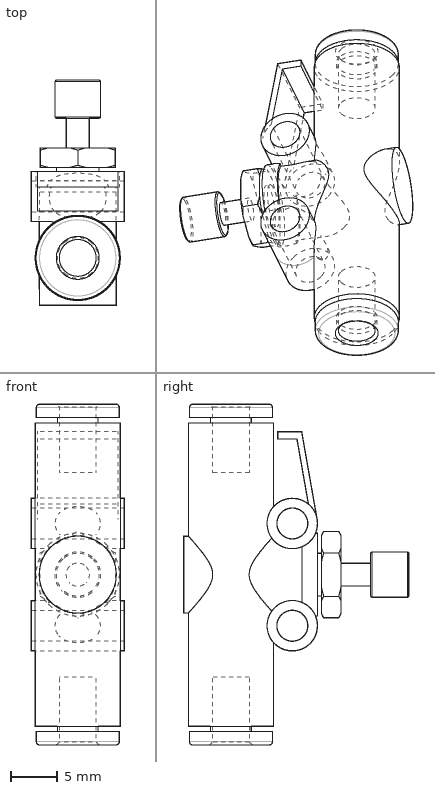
import cadquery as cq
import math

total_length = 37.0
body_radius = 4.62
body_length = 32.93
collar_radius = 4.5
collar_thickness = 1.48
collar_rounding = 0.37
neck_radius = 2.22
bore_radius = 2.0
bore_depth = 7.4
bore_chamfer = 0.35

boss_radius = 4.18
boss_front_y = -5.15
boss_back_y = 7.7
flange_radius = 4.5
flange_back_y = 9.4
stem_collar_radius = 2.33
nut_front_y = 9.8
nut_thickness = 2.15
nut_across_flats = 8.15
nut_chamfer_radius = 4.25
nut_chamfer_angle = 30.0
shaft_radius = 1.25
knob_front_y = 15.15
knob_length = 4.18
knob_radius = 2.48
knob_chamfer = 0.15

sleeve_length = 10.1
sleeve_radius = 2.75
sleeve_bore_radius = 1.65
sleeve_y = flange_back_y - sleeve_radius
sleeve_spacing = 11.1

plate_width = 8.77
plate_thickness = 0.65
plate_tilt = 10.0
plate_top_z = 15.5
lip_thickness = 0.8
lip_front_y = 5.07


def cylinder_y(radius, start_y, end_y):
    """Cylinder on the Y axis between two Y positions."""
    plane = cq.Plane(origin=(0, start_y, 0), xDir=(1, 0, 0), normal=(0, 1, 0))
    return cq.Workplane(plane).circle(radius).extrude(end_y - start_y)


def cylinder_x(radius, y, z):
    """Cylinder along X, centred on the part's YZ plane."""
    return cq.Workplane("YZ").center(y, z).circle(radius).extrude(sleeve_length / 2, both=True)


def make_tube():
    half_length = total_length / 2
    tube = cq.Workplane("XY").circle(body_radius).extrude(body_length / 2, both=True)
    tube = tube.union(cq.Workplane("XY").circle(neck_radius).extrude(half_length, both=True))
    top_collar = (
        cq.Workplane("XY", origin=(0, 0, half_length - collar_thickness))
        .circle(collar_radius)
        .extrude(collar_thickness)
        .faces(">Z")
        .edges()
        .fillet(collar_rounding)
    )
    return tube.union(top_collar).union(top_collar.mirror("XY"))


def make_bore():
    """Blind tube socket at the top end, with a chamfered mouth."""
    half_length = total_length / 2
    floor_z = half_length - bore_depth
    return (
        cq.Workplane("XZ")
        .moveTo(0, floor_z)
        .lineTo(bore_radius, floor_z)
        .lineTo(bore_radius, half_length - bore_chamfer)
        .lineTo(bore_radius + bore_chamfer, half_length)
        .lineTo(0, half_length)
        .close()
        .revolve(360, (0, 0, 0), (0, 1, 0))
    )


def make_nut():
    """Hexagon with corners on +Z and -Z, its corners turned down on both faces."""
    corner_radius = nut_across_flats / math.sqrt(3)
    back_y = nut_front_y + nut_thickness
    chamfer_height = (corner_radius - nut_chamfer_radius) * math.tan(math.radians(nut_chamfer_angle))
    hexagon = (
        cq.Workplane("XZ", origin=(0, back_y, 0))
        .transformed(rotate=(0, 0, 90))
        .polygon(6, 2 * corner_radius)
        .extrude(nut_thickness)
    )
    turned_blank = (
        cq.Workplane("XY")
        .moveTo(0, nut_front_y)
        .lineTo(nut_chamfer_radius, nut_front_y)
        .lineTo(corner_radius, nut_front_y + chamfer_height)
        .lineTo(corner_radius, back_y - chamfer_height)
        .lineTo(nut_chamfer_radius, back_y)
        .lineTo(0, back_y)
        .close()
        .revolve(360, (0, 0, 0), (0, 1, 0))
    )
    return hexagon.intersect(turned_blank)


def make_stem():
    knob_back_y = knob_front_y + knob_length
    knob = cylinder_y(knob_radius, knob_front_y, knob_back_y).edges().chamfer(knob_chamfer)
    boss = cylinder_y(boss_radius, boss_front_y, boss_back_y)
    flange = cylinder_y(flange_radius, boss_back_y, flange_back_y)
    stem_collar = cylinder_y(stem_collar_radius, flange_back_y, nut_front_y)
    shaft = cylinder_y(shaft_radius, nut_front_y, knob_front_y)
    return boss.union(flange).union(stem_collar).union(make_nut()).union(shaft).union(knob)


def make_plate(sleeve_z):
    """Tilted plate whose back face is tangent to the sleeve, with a lip bent forward at the top."""
    tilt = math.radians(plate_tilt)
    tangent_y = sleeve_y + sleeve_radius * math.cos(tilt)
    tangent_z = sleeve_z + sleeve_radius * math.sin(tilt)
    inner_y = tangent_y - plate_thickness * math.cos(tilt)
    inner_z = tangent_z - plate_thickness * math.sin(tilt)
    lip_bottom_z = plate_top_z - lip_thickness
    back_corner_y = tangent_y - (plate_top_z - tangent_z) * math.tan(tilt)
    inner_corner_y = inner_y - (lip_bottom_z - inner_z) * math.tan(tilt)
    return (
        cq.Workplane("YZ")
        .moveTo(tangent_y, tangent_z)
        .lineTo(back_corner_y, plate_top_z)
        .lineTo(lip_front_y, plate_top_z)
        .lineTo(lip_front_y, lip_bottom_z)
        .lineTo(inner_corner_y, lip_bottom_z)
        .lineTo(inner_y, inner_z)
        .close()
        .extrude(plate_width / 2, both=True)
    )


upper_sleeve_z = sleeve_spacing / 2
result = make_tube().union(make_stem()).union(make_plate(upper_sleeve_z))

for z in (upper_sleeve_z, -upper_sleeve_z):
    result = result.union(cylinder_x(sleeve_radius, sleeve_y, z))

for z in (upper_sleeve_z, -upper_sleeve_z):
    result = result.cut(cylinder_x(sleeve_bore_radius, sleeve_y, z))

top_bore = make_bore()
result = result.cut(top_bore).cut(top_bore.mirror("XY"))